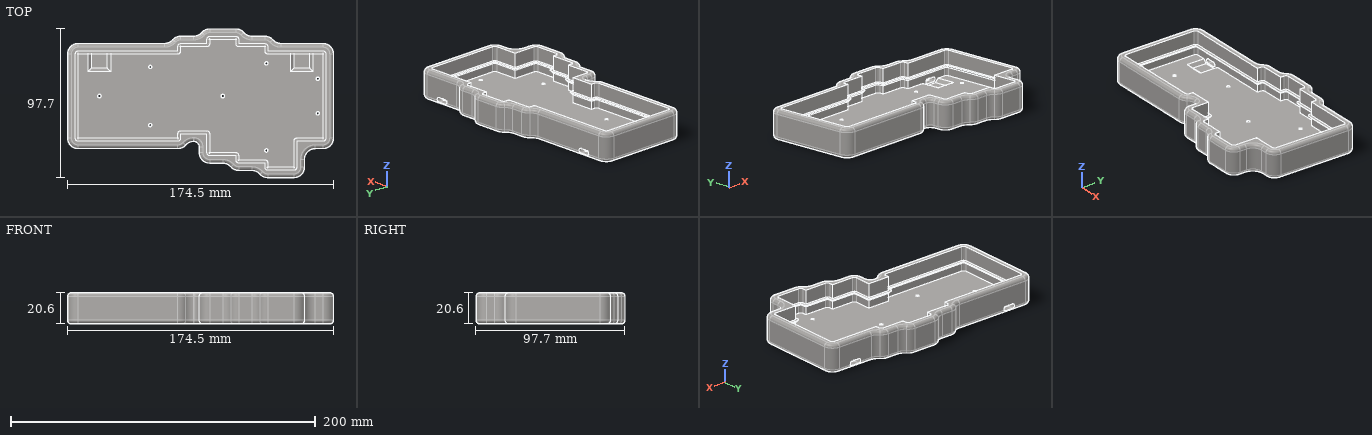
import cadquery as cq


KEY_PITCH = 19.05
STAGGER = KEY_PITCH / 4
GRID_WIDTH = 162.5
ROWS = 3
LONG_ROWS = 4
GRID_HEIGHT = LONG_ROWS * KEY_PITCH + 2 * STAGGER

RIGHT_EDGE = GRID_WIDTH / 2
LEFT_EDGE = -RIGHT_EDGE
TOP_EDGE = GRID_HEIGHT / 2
BOTTOM_EDGE = -TOP_EDGE
COLUMN_X = [RIGHT_EDGE - count * KEY_PITCH for count in (5, 4, 3, 2, 1)]
SIDE_TOP = TOP_EDGE - 2 * STAGGER
SIDE_BOTTOM = SIDE_TOP - ROWS * KEY_PITCH

GRID_CLEARANCE = 1.0
CAVITY_OFFSET = 2.0
LIP_WIDTH = 2.0
LIP_UNDERSIDE_ANGLE = 45
WALL_OFFSET = 7.0
CASE_HEIGHT = 20.6
FLOOR_Z = 3.0
LIP_Z = 10.6
CONCAVE_RADIUS = 7.0
NOTCH_CORNER_RADIUS = 3.5
RIM_FILLET = 2.5

MIDDLE_HOLE_DIAMETER = 2.2
HOLE_DIAMETER = 2.0
SIDE_MIDDLE_Y = (SIDE_TOP + SIDE_BOTTOM) / 2
FAR_LEFT_HOLE_X = COLUMN_X[0] - 2.75 * KEY_PITCH
RIGHT_HOLE_X = RIGHT_EDGE - 4.35
RIGHT_HOLE_SPREAD = 11.35
MIDDLE_HOLES = [
    (FAR_LEFT_HOLE_X, SIDE_MIDDLE_Y),
    (COLUMN_X[1] + KEY_PITCH / 2, SIDE_MIDDLE_Y),
]
OUTER_HOLES = [
    (COLUMN_X[0] - KEY_PITCH, SIDE_MIDDLE_Y + KEY_PITCH),
    (COLUMN_X[0] - KEY_PITCH, SIDE_MIDDLE_Y - KEY_PITCH),
    (COLUMN_X[3], SIDE_MIDDLE_Y + 1.125 * KEY_PITCH),
    (COLUMN_X[3], SIDE_MIDDLE_Y - 1.875 * KEY_PITCH),
    (RIGHT_HOLE_X, SIDE_MIDDLE_Y + RIGHT_HOLE_SPREAD),
    (RIGHT_HOLE_X, SIDE_MIDDLE_Y - RIGHT_HOLE_SPREAD),
]

BAY_X = 66.4
BAY_WIDTH = 15.0
BAY_LENGTH = 13.6
BAY_DEPTH = 2.5
SLOT_WIDTH = 9.0
SLOT_HEIGHT = 3.2
SLOT_BOTTOM_Z = 1.6

BACK_WALL_INSIDE = SIDE_TOP - GRID_CLEARANCE + CAVITY_OFFSET
BACK_WALL_OUTSIDE = SIDE_TOP - GRID_CLEARANCE + WALL_OFFSET


def grid_corners():
    """Corners of the staggered key grid, clockwise from the lower left."""
    x1, x2, x3, x4, x5 = COLUMN_X
    return [
        (LEFT_EDGE, SIDE_BOTTOM),
        (LEFT_EDGE, SIDE_TOP),
        (x1, SIDE_TOP),
        (x1, TOP_EDGE - STAGGER),
        (x2, TOP_EDGE - STAGGER),
        (x2, TOP_EDGE),
        (x3, TOP_EDGE),
        (x3, TOP_EDGE - STAGGER),
        (x4, TOP_EDGE - STAGGER),
        (x4, SIDE_TOP),
        (RIGHT_EDGE, SIDE_TOP),
        (RIGHT_EDGE, SIDE_BOTTOM),
        (x5, SIDE_BOTTOM),
        (x5, BOTTOM_EDGE),
        (x4, BOTTOM_EDGE),
        (x4, BOTTOM_EDGE + STAGGER),
        (x3, BOTTOM_EDGE + STAGGER),
        (x3, BOTTOM_EDGE + 2 * STAGGER),
        (x2, BOTTOM_EDGE + 2 * STAGGER),
        (x2, SIDE_BOTTOM + STAGGER),
        (x1, SIDE_BOTTOM + STAGGER),
        (x1, SIDE_BOTTOM),
    ]


def inset_outline(z):
    """Key grid outline drawn in by the clearance, with sharp corners."""
    grid = cq.Workplane("XY", origin=(0, 0, z)).polyline(grid_corners()).close()
    return grid.offset2D(-GRID_CLEARANCE, "intersection")


def edges_near(body, points):
    """Vertical edges of the body closest to the given points."""
    mid_height = CASE_HEIGHT / 2
    chosen = []
    for x, y in points:
        selector = cq.NearestToPointSelector((x, y, mid_height))
        chosen += body.edges("|Z").edges(selector).vals()
    return body.newObject(chosen)


def make_body():
    """Solid block with smoothed concave corners and rounded rims."""
    body = inset_outline(0).offset2D(WALL_OFFSET).extrude(CASE_HEIGHT)
    x1, x2, x3, x4, x5 = COLUMN_X
    reach = WALL_OFFSET - GRID_CLEARANCE
    notch_corner = (x2 - reach, SIDE_BOTTOM + STAGGER - reach)
    concave_corners = [
        (x1 - reach, SIDE_TOP + reach),
        (x2 - reach, TOP_EDGE - STAGGER + reach),
        (x3 + reach, TOP_EDGE - STAGGER + reach),
        (x4 + reach, SIDE_TOP + reach),
        (x5 + reach, SIDE_BOTTOM - reach),
        (x4 - reach, BOTTOM_EDGE + STAGGER - reach),
        (x3 - reach, BOTTOM_EDGE + 2 * STAGGER - reach),
        (x1 + reach, SIDE_BOTTOM + STAGGER - reach),
    ]
    body = edges_near(body, concave_corners).fillet(CONCAVE_RADIUS)
    body = edges_near(body, [notch_corner]).fillet(NOTCH_CORNER_RADIUS)
    return body.faces("<Z or >Z").edges().fillet(RIM_FILLET)


def cavity_outline(z):
    return inset_outline(z).offset2D(CAVITY_OFFSET)


def make_cavity():
    """Straight-walled cavity, interrupted by a lip that narrows its opening."""
    cavity = cavity_outline(FLOOR_Z).extrude(CASE_HEIGHT - FLOOR_Z)
    opening = (
        cavity_outline(LIP_Z)
        .offset2D(-LIP_WIDTH)
        .extrude(-LIP_WIDTH, taper=-LIP_UNDERSIDE_ANGLE)
    )
    lip = cavity_outline(LIP_Z).extrude(-LIP_WIDTH).cut(opening)
    return cavity.cut(lip)


def make_holes(points, diameter):
    return cq.Workplane("XY").pushPoints(points).circle(diameter / 2).extrude(FLOOR_Z)


def make_bay(x):
    """Pocket against the back wall, sloped on its three free sides, plus the wall slot."""
    full_pocket = (
        cq.Workplane("XY", origin=(x, BACK_WALL_INSIDE, FLOOR_Z))
        .rect(BAY_WIDTH, 2 * BAY_LENGTH)
        .workplane(offset=-BAY_DEPTH)
        .rect(BAY_WIDTH - 2 * BAY_DEPTH, 2 * (BAY_LENGTH - BAY_DEPTH))
        .loft(ruled=True)
    )
    front_half = cq.Workplane("XY", origin=(x, BACK_WALL_INSIDE - BAY_LENGTH, 0)).box(
        BAY_WIDTH, BAY_LENGTH, FLOOR_Z, centered=(True, False, False)
    )
    slot = (
        cq.Workplane("XZ", origin=(x, BACK_WALL_INSIDE, SLOT_BOTTOM_Z + SLOT_HEIGHT / 2))
        .slot2D(SLOT_WIDTH, SLOT_HEIGHT)
        .extrude(BACK_WALL_INSIDE - BACK_WALL_OUTSIDE)
    )
    return full_pocket.intersect(front_half).union(slot)


result = make_body().cut(make_cavity())
result = result.cut(make_holes(MIDDLE_HOLES, MIDDLE_HOLE_DIAMETER))
result = result.cut(make_holes(OUTER_HOLES, HOLE_DIAMETER))
for bay_x in (-BAY_X, BAY_X):
    result = result.cut(make_bay(bay_x))